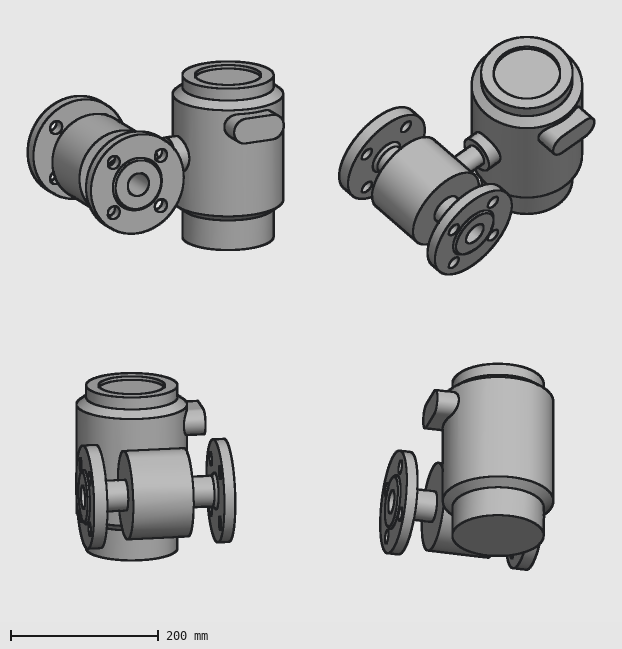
import cadquery as cq


pipe_diameter = 42.0
bore_diameter = 32.0
body_diameter = 120.0
body_length = 83.0

overall_length = 200.0
raised_face_height = 3.0
raised_face_diameter = 74.0
raised_face_chamfer = 2.5
flange_diameter = 140.0
left_flange_thickness = 18.0
right_flange_thickness = 15.2
hub_length = 5.0
hub_diameter = 50.0
bolt_hole_diameter = 18.0
bolt_spacing = 71.2

housing_diameter = 150.0
cap_diameter = 124.0
overall_depth = 329.7
housing_y = overall_depth - flange_diameter / 2 - housing_diameter / 2
housing_top = 102.0
housing_height = 229.0
housing_bottom = housing_top - housing_height
shoulder_start = 75.2
shoulder_height = 10.0
window_diameter = 90.0
window_depth = 5.0

neck_diameter = 30.0
collar_diameter = 50.0
collar_front_y = 93.3

entry_width = 75.2
entry_height = 35.0
entry_z = 51.8
entry_end_x = 95.0


def cylinder_along_x(diameter, start_x, length):
    return cq.Workplane("YZ", origin=(start_x, 0, 0)).circle(diameter / 2).extrude(length)


def cylinder_along_y(diameter, start_y, end_y):
    plane = cq.Plane(origin=(0, start_y, 0), xDir=(1, 0, 0), normal=(0, 1, 0))
    return cq.Workplane(plane).circle(diameter / 2).extrude(end_y - start_y)


def make_flange(thickness):
    """Flange on the +X end, with its conical hub and chamfered raised face."""
    face_x = overall_length / 2
    front_x = face_x - raised_face_height
    back_x = front_x - thickness
    profile = [
        (back_x - hub_length, 0),
        (back_x - hub_length, pipe_diameter / 2),
        (back_x, hub_diameter / 2),
        (back_x, flange_diameter / 2),
        (front_x, flange_diameter / 2),
        (front_x, raised_face_diameter / 2),
        (face_x, raised_face_diameter / 2 - raised_face_chamfer),
        (face_x, 0),
    ]
    flange = cq.Workplane("XY").polyline(profile).close().revolve(360, (0, 0, 0), (1, 0, 0))
    bolt_holes = (
        cq.Workplane("YZ", origin=(back_x, 0, 0))
        .rect(bolt_spacing, bolt_spacing, forConstruction=True)
        .vertices()
        .circle(bolt_hole_diameter / 2)
        .extrude(thickness)
    )
    return flange.cut(bolt_holes)


def make_meter():
    meter = cylinder_along_x(body_diameter, -body_length / 2, body_length)
    pipe_length = overall_length - 2 * raised_face_height
    meter = meter.union(cylinder_along_x(pipe_diameter, -pipe_length / 2, pipe_length))
    meter = meter.union(make_flange(right_flange_thickness))
    return meter.union(make_flange(left_flange_thickness).mirror("YZ"))


def make_housing():
    """Turned housing with a conical shoulder at each end and a recessed window on top."""
    cap_radius = cap_diameter / 2
    housing_radius = housing_diameter / 2
    shoulder_end = shoulder_start + shoulder_height
    profile = [
        (0, housing_bottom),
        (cap_radius, housing_bottom),
        (cap_radius, -shoulder_end),
        (housing_radius, -shoulder_start),
        (housing_radius, shoulder_start),
        (cap_radius, shoulder_end),
        (cap_radius, housing_top),
        (0, housing_top),
    ]
    housing = (
        cq.Workplane("XZ", origin=(0, housing_y, 0))
        .polyline(profile)
        .close()
        .revolve(360, (0, 0, 0), (0, 1, 0))
    )
    window = (
        cq.Workplane("XY", origin=(0, housing_y, housing_top - window_depth))
        .circle(window_diameter / 2)
        .extrude(window_depth)
    )
    return housing.cut(window)


def make_cable_entry():
    """Rounded bar reaching from the housing axis out past its side."""
    return (
        cq.Workplane("YZ", origin=(0, housing_y, entry_z))
        .slot2D(entry_width, entry_height)
        .extrude(entry_end_x)
    )


neck = cylinder_along_y(neck_diameter, 0, housing_y)
collar = cylinder_along_y(collar_diameter, collar_front_y, housing_y)
bore = cylinder_along_x(bore_diameter, -overall_length / 2, overall_length)

result = (
    make_housing()
    .union(make_cable_entry())
    .union(collar)
    .union(neck.union(make_meter()))
    .cut(bore)
)